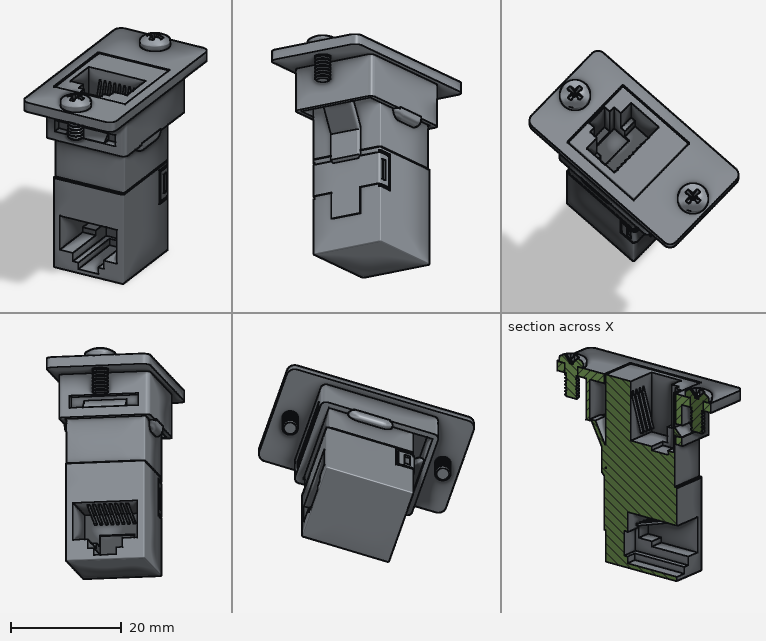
import cadquery as cq
import math


TOTAL_HEIGHT = 38.12

PLATE_WIDTH = 19.05
PLATE_LENGTH = 35.55
PLATE_THICKNESS = 1.9
PLATE_CORNER_RADIUS = 1.5
COLLAR_WIDTH = 16.85
COLLAR_LENGTH = 22.3
COLLAR_BOTTOM = -9.85
COLLAR_CORNER_RADIUS = 1.0
COLLAR_WALL = 1.0
OPENING_CLEARANCE = 0.15
WINDOW_WIDTH = 12.65
WINDOW_TOP = -5.87
WINDOW_BOTTOM = -8.12
WING_SPAN = 16.93
WING_THICKNESS = 1.15
WING_WIDTH = 8.5
WING_CENTER_Y = -1.7
WING_TOP = -9.5
WING_BOTTOM = -11.63
WING_CORNER_RADIUS = 2.0
WING_ROUNDING = 1.1

COUPLER_WIDTH = 14.55
COUPLER_BACK = 6.65
NECK_FRONT = -9.45
BODY_FRONT = -10.0
BODY_TOP = -18.03
EDGE_RADIUS = 0.3
SHOULDER_CHAMFER = 0.15
LUG_WIDTH = 7.85
LUG_TOP = -6.55
LUG_PROJECTION = 1.55

SOCKET_WIDTH = 11.8
SOCKET_HEIGHT = 6.82
SOCKET_DEPTH = 11.45
SLOT_WIDTH = 6.4
SLOT_END = 8.5
NOTCH_WIDTH = 4.1
NOTCH_END = 9.8
LEDGE_START = 5.85
LEDGE_DEPTH = 8.4
POCKET_DEPTH = 12.2
TOP_SOCKET_WALL_Y = 0.65
TOP_POCKET_START = 4.8
FRONT_SOCKET_WALL_Z = -25.45
FRONT_POCKET_START = 3.8

CONTACT_COUNT = 8
CONTACT_ROW_SPAN = 7.13
CONTACT_PITCH = CONTACT_ROW_SPAN / (CONTACT_COUNT - 1)
CONTACT_DIAMETER = 0.45
CONTACT_START_DEPTH = 2.8
CONTACT_END_DEPTH = 9.65
CONTACT_REACH = 2.1
CONTACT_ROOT_LENGTH = 1.52

LEVER_WIDTH = 6.1
LEVER_THICKNESS = 0.85
LEVER_SLANT_THICKNESS = 1.2
LEVER_BEND = -14.3
LEVER_FOOT = -19.15
LEVER_TIP = -9.45
LEVER_TIP_OFFSET = 3.43
LEVER_EDGE_RADIUS = 0.55
CLIP_THICKNESS = 0.3
CLIP_TOP = -19.2
CLIP_BOTTOM = -25.15
CLIP_EDGE_Y = 3.75
CLIP_CORNER_RADIUS = 0.75
CLIP_TONGUE_BOTTOM = -30.1
RECESS_MARGIN = 0.45
RECESS_DEPTH = 0.4
CLIP_SLOT_CENTER_Y = 5.4
CLIP_SLOT_WIDTH = 1.03
CLIP_SLOT_HEIGHT = 3.8

SCREW_Y = 14.52
HEAD_DIAMETER = 5.55
DOME_APEX = 1.95
HEAD_RIM_HEIGHT = 1.0
HEAD_EDGE_RADIUS = 0.35
THREAD_RADIUS = 1.45
THREAD_ROOT_RADIUS = 1.15
THREAD_LENGTH = 4.5
THREAD_TURNS = 7
THREAD_PITCH = THREAD_LENGTH / THREAD_TURNS
CREST_WIDTH = 0.05
DRIVE_SPAN = 3.65
DRIVE_WIDTH = 0.75
DRIVE_BOTTOM = 0.2


def box(x_range, y_range, z_range):
    """Box between the given limits along each axis."""
    sizes = [high - low for low, high in (x_range, y_range, z_range)]
    corner = (x_range[0], y_range[0], z_range[0])
    return cq.Workplane("XY").box(*sizes, centered=False).translate(corner)


def centered_box(width, y_range, z_range):
    """Box of the given width, centred on X = 0."""
    return box((-width / 2, width / 2), y_range, z_range)


def on_both_sides(shape):
    """The shape together with its mirror image across X = 0."""
    return shape.union(shape.mirror("YZ"))


def dome_height(distance):
    """Height of a screw head's dome at the given distance from the screw's axis."""
    rise = DOME_APEX - HEAD_RIM_HEIGHT
    dome_radius = ((HEAD_DIAMETER / 2) ** 2 + rise**2) / (2 * rise)
    return DOME_APEX - dome_radius + math.sqrt(dome_radius**2 - distance**2)


HIGHEST_POINT = dome_height(DRIVE_WIDTH / math.sqrt(2))
COUPLER_BOTTOM = HIGHEST_POINT - TOTAL_HEIGHT


OPENING_WIDTH = COUPLER_WIDTH + 2 * OPENING_CLEARANCE
OPENING_FRONT = NECK_FRONT - OPENING_CLEARANCE
OPENING_BACK = COUPLER_BACK + OPENING_CLEARANCE


def make_wing():
    """Rounded guard on the collar's +X side, reaching below the collar."""
    outer_x = WING_SPAN / 2
    half_width = WING_WIDTH / 2
    wing = box(
        (outer_x - WING_THICKNESS, outer_x),
        (WING_CENTER_Y - half_width, WING_CENTER_Y + half_width),
        (WING_BOTTOM, WING_TOP),
    )
    wing = wing.edges("|X and <Z").fillet(WING_CORNER_RADIUS)
    return wing.faces(">X").edges("not >Z").fillet(WING_ROUNDING)


def make_bracket():
    plate = centered_box(
        PLATE_WIDTH, (-PLATE_LENGTH / 2, PLATE_LENGTH / 2), (-PLATE_THICKNESS, 0)
    )
    plate = plate.edges("|Z").fillet(PLATE_CORNER_RADIUS)
    collar = centered_box(
        COLLAR_WIDTH, (-COLLAR_LENGTH / 2, COLLAR_LENGTH / 2), (COLLAR_BOTTOM, -PLATE_THICKNESS)
    )
    collar = collar.edges("|Z").fillet(COLLAR_CORNER_RADIUS)
    opening = centered_box(OPENING_WIDTH, (OPENING_FRONT, OPENING_BACK), (COLLAR_BOTTOM, 0))
    lever_room = centered_box(
        OPENING_WIDTH,
        (OPENING_FRONT, COLLAR_LENGTH / 2 - COLLAR_WALL),
        (COLLAR_BOTTOM, -PLATE_THICKNESS),
    )
    window = centered_box(
        WINDOW_WIDTH, (-COLLAR_LENGTH / 2, OPENING_FRONT), (WINDOW_BOTTOM, WINDOW_TOP)
    )
    bracket = plate.union(collar).union(on_both_sides(make_wing()))
    bracket = bracket.cut(opening).cut(lever_room).cut(window)
    screw_holes = (
        cq.Workplane("XY")
        .pushPoints([(0, -SCREW_Y), (0, SCREW_Y)])
        .circle(THREAD_RADIUS)
        .extrude(-PLATE_THICKNESS)
    )
    return bracket.cut(screw_holes)


def make_socket(pocket_start):
    """Socket space with its mouth on Z = 0, contact wall on Y = 0, going down and toward -Y."""
    mouth = centered_box(SOCKET_WIDTH, (-SOCKET_HEIGHT, 0), (-SOCKET_DEPTH, 0))
    ledge = centered_box(SOCKET_WIDTH, (-SOCKET_HEIGHT, -LEDGE_START), (-SOCKET_DEPTH, -LEDGE_DEPTH))
    slot = centered_box(SLOT_WIDTH, (-SLOT_END, -pocket_start), (-POCKET_DEPTH, 0))
    notch = centered_box(NOTCH_WIDTH, (-NOTCH_END, -SLOT_END), (-SOCKET_DEPTH, 0))
    return mouth.cut(ledge).union(slot).union(notch).cut(make_contacts())


def make_contacts():
    """Row of slanted spring wires, rooted in the contact wall."""
    drop = CONTACT_END_DEPTH - CONTACT_START_DEPTH
    length = math.hypot(CONTACT_REACH, drop) + CONTACT_ROOT_LENGTH
    direction = cq.Vector(0, -CONTACT_REACH, -drop).normalized()
    contacts = cq.Workplane("XY")
    for index in range(CONTACT_COUNT):
        x = (index - (CONTACT_COUNT - 1) / 2) * CONTACT_PITCH
        root = cq.Vector(x, 0, -CONTACT_START_DEPTH) - direction * CONTACT_ROOT_LENGTH
        wire = cq.Solid.makeCylinder(CONTACT_DIAMETER / 2, length, root, direction)
        contacts = contacts.add(wire)
    return contacts.combine()


def make_lug():
    """Fixed wedge on the neck's front that catches in the bracket's window."""
    outline = [
        (NECK_FRONT, LUG_TOP),
        (NECK_FRONT - LUG_PROJECTION, WINDOW_BOTTOM),
        (NECK_FRONT, WINDOW_BOTTOM),
    ]
    return cq.Workplane("YZ").polyline(outline).close().extrude(LUG_WIDTH / 2, both=True)


def make_lever():
    """Bent latch lever on the coupler's back."""
    outer = COUPLER_BACK + LEVER_THICKNESS
    foot_drop = LEVER_THICKNESS - CLIP_THICKNESS
    tip_outer = COUPLER_BACK + LEVER_TIP_OFFSET
    slant = (tip_outer - outer) / (LEVER_TIP - LEVER_BEND)
    inner_bend = LEVER_BEND + (LEVER_SLANT_THICKNESS - LEVER_THICKNESS) / slant
    outline = [
        (COUPLER_BACK, LEVER_FOOT - foot_drop),
        (COUPLER_BACK + CLIP_THICKNESS, LEVER_FOOT - foot_drop),
        (outer, LEVER_FOOT),
        (outer, LEVER_BEND),
        (tip_outer, LEVER_TIP),
        (tip_outer - LEVER_SLANT_THICKNESS, LEVER_TIP),
        (COUPLER_BACK, inner_bend),
    ]
    lever = cq.Workplane("YZ").polyline(outline).close().extrude(LEVER_WIDTH / 2, both=True)
    outer_edges = cq.Workplane("XY")
    for step in ((0, 1, 1), (0, 0, 1), (0, slant, 1)):
        stretch = lever.edges(cq.selectors.ParallelDirSelector(cq.Vector(*step)))
        outer_edges = outer_edges.add(stretch.edges(">Y"))
    return lever.newObject(outer_edges.vals()).fillet(LEVER_EDGE_RADIUS)


def make_clip():
    """Shield clip across the back, wrapping round both sides."""
    band = centered_box(
        COUPLER_WIDTH, (CLIP_EDGE_Y, COUPLER_BACK + CLIP_THICKNESS), (CLIP_BOTTOM, CLIP_TOP)
    )
    band = band.edges("|Z and >Y").fillet(CLIP_CORNER_RADIUS)
    tongue = centered_box(
        LEVER_WIDTH, (COUPLER_BACK, COUPLER_BACK + CLIP_THICKNESS), (CLIP_TONGUE_BOTTOM, CLIP_TOP)
    )
    return band.union(tongue)


def make_coupler():
    neck = centered_box(COUPLER_WIDTH, (NECK_FRONT, COUPLER_BACK), (BODY_TOP, 0))
    neck = neck.edges("|Z or >Z").fillet(EDGE_RADIUS)
    body = centered_box(COUPLER_WIDTH, (BODY_FRONT, COUPLER_BACK), (COUPLER_BOTTOM, BODY_TOP))
    body = body.edges("|Z or <Z").fillet(EDGE_RADIUS)
    body = body.faces(">Z").edges().chamfer(SHOULDER_CHAMFER)
    side = COUPLER_WIDTH / 2
    recess = box(
        (side - RECESS_DEPTH, side),
        (CLIP_EDGE_Y - RECESS_MARGIN, COUPLER_BACK),
        (CLIP_BOTTOM - RECESS_MARGIN, CLIP_TOP + RECESS_MARGIN),
    )
    clip_slot = cq.Workplane("XY").box(2 * RECESS_DEPTH, CLIP_SLOT_WIDTH, CLIP_SLOT_HEIGHT)
    clip_slot = clip_slot.translate((side, CLIP_SLOT_CENTER_Y, (CLIP_TOP + CLIP_BOTTOM) / 2))

    coupler = neck.union(body).cut(on_both_sides(recess))
    coupler = coupler.union(make_clip()).cut(on_both_sides(clip_slot))
    coupler = coupler.union(make_lever()).union(make_lug())

    top_socket = make_socket(TOP_POCKET_START).translate((0, TOP_SOCKET_WALL_Y, 0))
    front_socket = make_socket(FRONT_POCKET_START).rotate((0, 0, 0), (1, 0, 0), 90)
    front_socket = front_socket.translate((0, BODY_FRONT, FRONT_SOCKET_WALL_Z))
    return coupler.cut(top_socket).cut(front_socket)


def make_head():
    radius = HEAD_DIAMETER / 2
    mid_dome = (radius / 2, dome_height(radius / 2))
    head = (
        cq.Workplane("XZ")
        .lineTo(radius, 0)
        .lineTo(radius, HEAD_RIM_HEIGHT)
        .threePointArc(mid_dome, (0, DOME_APEX))
        .close()
        .revolve(360, (0, 0, 0), (0, 1, 0))
    )
    return head.faces("%CYLINDER").edges(">Z").fillet(HEAD_EDGE_RADIUS)


def make_shank():
    """Plain shank inside the plate, then ring-shaped thread crests below it."""
    points = [(0, 0), (THREAD_RADIUS, 0), (THREAD_RADIUS, -PLATE_THICKNESS)]
    for turn in range(THREAD_TURNS):
        root = -PLATE_THICKNESS - turn * THREAD_PITCH
        crest = root - THREAD_PITCH / 2
        points.append((THREAD_ROOT_RADIUS, root))
        points.append((THREAD_RADIUS, crest + CREST_WIDTH / 2))
        points.append((THREAD_RADIUS, crest - CREST_WIDTH / 2))
    end = -PLATE_THICKNESS - THREAD_LENGTH
    points.append((THREAD_ROOT_RADIUS, end))
    points.append((0, end))
    return cq.Workplane("XZ").polyline(points).close().revolve(360, (0, 0, 0), (0, 1, 0))


def make_drive_recess():
    """Cross recess whose four arms slope down to the screw's axis."""
    outline = [
        (-DRIVE_SPAN / 2, DOME_APEX),
        (DRIVE_SPAN / 2, DOME_APEX),
        (0, DRIVE_BOTTOM),
    ]
    arm = cq.Workplane("XZ").polyline(outline).close().extrude(DRIVE_WIDTH / 2, both=True)
    return arm.union(arm.rotate((0, 0, 0), (0, 0, 1), 90))


def make_screw(y):
    screw = make_head().union(make_shank()).cut(make_drive_recess())
    return screw.translate((0, y, 0))


bracket = make_bracket()
coupler = make_coupler()
screws = [make_screw(y) for y in (-SCREW_Y, SCREW_Y)]

result = cq.Compound.makeCompound([bracket.val(), coupler.val(), *[s.val() for s in screws]])